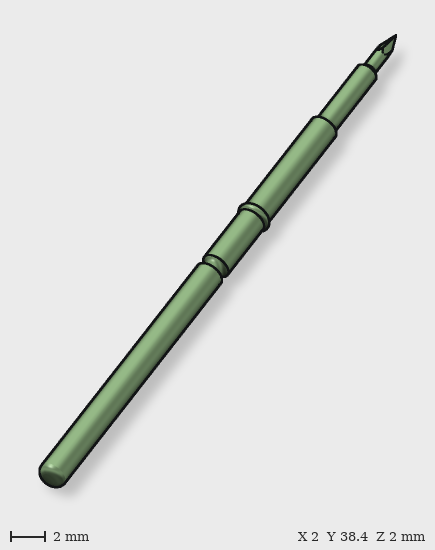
import cadquery as cq


LENGTH = 38.4

BARREL_RADIUS = 0.85
BARREL_LENGTH = 30.4
TAIL_FILLET = 0.45

GROOVE_CENTRE = 18.1
GROOVE_WIDTH = 0.7
GROOVE_DEPTH = 0.2

RING_RADIUS = 1.0
RING_START = 22.4
RING_WIDTH = 0.5

PLUNGER_RADIUS = 0.65
PLUNGER_END = 35.15
PLUNGER_TAPER_LENGTH = 0.25

NOSE_RADIUS = 0.4
POINT_LENGTH = 1.8
FLAT_TILT = 53


def turned_body():
    """Revolve the half profile of everything except the four flats of the point."""
    groove_start = GROOVE_CENTRE - GROOVE_WIDTH / 2
    groove_end = GROOVE_CENTRE + GROOVE_WIDTH / 2
    ring_middle = RING_START + RING_WIDTH / 2
    ring_end = RING_START + RING_WIDTH
    tail_face_radius = BARREL_RADIUS - TAIL_FILLET

    profile = (
        cq.Workplane("XY")
        .moveTo(0, 0)
        .lineTo(tail_face_radius, 0)
        .radiusArc((BARREL_RADIUS, TAIL_FILLET), -TAIL_FILLET)
        .lineTo(BARREL_RADIUS, groove_start)
        .threePointArc((BARREL_RADIUS - GROOVE_DEPTH, GROOVE_CENTRE), (BARREL_RADIUS, groove_end))
        .lineTo(BARREL_RADIUS, RING_START)
        .threePointArc((RING_RADIUS, ring_middle), (BARREL_RADIUS, ring_end))
        .lineTo(BARREL_RADIUS, BARREL_LENGTH)
        .lineTo(PLUNGER_RADIUS, BARREL_LENGTH)
        .lineTo(PLUNGER_RADIUS, PLUNGER_END)
        .lineTo(NOSE_RADIUS, PLUNGER_END + PLUNGER_TAPER_LENGTH)
        .lineTo(NOSE_RADIUS, LENGTH)
        .lineTo(0, LENGTH)
        .close()
    )
    return profile.revolve(360, (0, 0, 0), (0, 1, 0))


def point_wedge(angle):
    """Roof-shaped envelope whose two slopes are one opposite pair of flats."""
    half_width = 1.5 * RING_RADIUS
    slope_start = LENGTH - POINT_LENGTH * half_width / NOSE_RADIUS
    outline = [
        (-half_width, 0),
        (half_width, 0),
        (half_width, slope_start),
        (0, LENGTH),
        (-half_width, slope_start),
    ]
    wedge = cq.Workplane("XY").polyline(outline).close().extrude(half_width, both=True)
    return wedge.rotate((0, 0, 0), (0, 1, 0), angle)


result = turned_body()
for flat_angle in (FLAT_TILT, -FLAT_TILT):
    result = result.intersect(point_wedge(flat_angle))